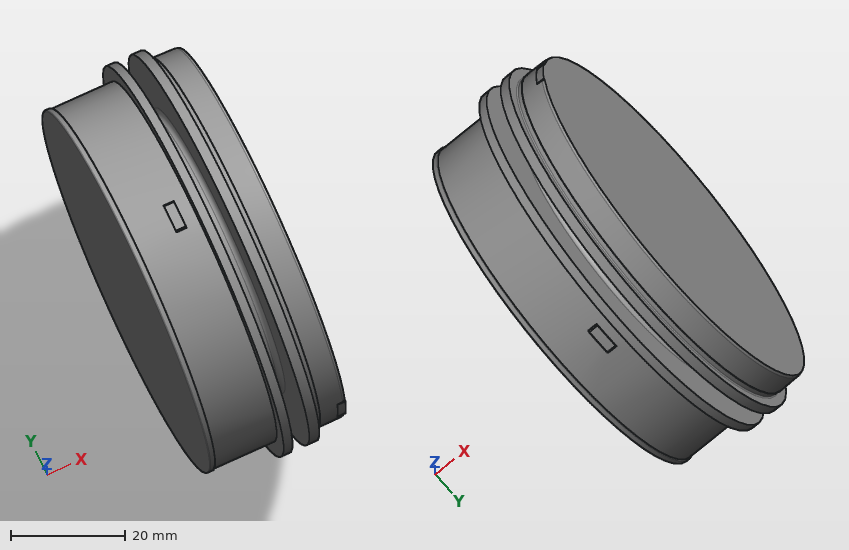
import cadquery as cq
import math

length = 26.0
lip_end = 1.1
flange_1_start = 13.05
groove_start = 14.8
groove_end = 18.0
flange_2_end = 19.95
neck_end = 21.1

lip_dia = 69.6
body_dia = 69.2
flange_dia = 75.0
groove_dia = 52.65
neck_dia = 70.7
cap_dia = 71.0
cap_rim_dia = 70.8

groove_fillet = 1.05
lip_fillet = 0.15
neck_fillet = 0.2
cap_bevel_length = 0.5
cap_bevel_depth = 0.15

pad_end_run = 0.3
pad_end_drop = 0.3
body_pad_start = 8.55
body_pad_length = 1.95
body_pad_width = 5.5
body_pad_dia = 69.75
rim_pad_length = 1.6
rim_pad_width = 8.4
rim_pad_dia = 70.95


def disc(start, end, diameter):
    """Solid disc about the X axis between two axial positions."""
    return cq.Workplane("YZ", origin=(start, 0, 0)).circle(diameter / 2).extrude(end - start)


def make_groove_core():
    """Groove floor blended into both flange walls by concave fillets."""
    floor = groove_dia / 2
    shoulder = floor + groove_fillet
    return (
        cq.Workplane("XY")
        .moveTo(groove_start, 0)
        .lineTo(groove_start, shoulder)
        .radiusArc((groove_start + groove_fillet, floor), -groove_fillet)
        .lineTo(groove_end - groove_fillet, floor)
        .radiusArc((groove_end, shoulder), -groove_fillet)
        .lineTo(groove_end, 0)
        .close()
        .revolve(360, (0, 0, 0), (1, 0, 0))
    )


def make_neck():
    """Neck behind the second flange, with a small fillet at its root."""
    radius = neck_dia / 2
    return (
        cq.Workplane("XY")
        .moveTo(flange_2_end, 0)
        .lineTo(flange_2_end, radius + neck_fillet)
        .radiusArc((flange_2_end + neck_fillet, radius), -neck_fillet)
        .lineTo(neck_end, radius)
        .lineTo(neck_end, 0)
        .close()
        .revolve(360, (0, 0, 0), (1, 0, 0))
    )


def make_cap():
    """Slightly tapered cap with a shallow bevel on its outer rim."""
    rim_radius = cap_rim_dia / 2
    return (
        cq.Workplane("XY")
        .moveTo(neck_end, 0)
        .lineTo(neck_end, cap_dia / 2)
        .lineTo(length - cap_bevel_length, rim_radius)
        .lineTo(length, rim_radius - cap_bevel_depth)
        .lineTo(length, 0)
        .close()
        .revolve(360, (0, 0, 0), (1, 0, 0))
    )


def make_pad(start, pad_length, base_width, outer_dia, angle):
    """Arc-topped pad with sloping ends, turned about X from the +Z direction."""
    half_base = base_width / 2
    half_top = half_base - pad_end_run
    top = math.sqrt((outer_dia / 2) ** 2 - half_top**2)
    base = math.sqrt((outer_dia / 2 - pad_end_drop) ** 2 - half_base**2)
    pad = (
        cq.Workplane("YZ", origin=(start, 0, 0))
        .moveTo(-half_base, 0)
        .lineTo(-half_base, base)
        .lineTo(-half_top, top)
        .threePointArc((0, outer_dia / 2), (half_top, top))
        .lineTo(half_base, base)
        .lineTo(half_base, 0)
        .close()
        .extrude(pad_length)
    )
    return pad.rotate((0, 0, 0), (1, 0, 0), angle)


lip = disc(0, lip_end, lip_dia).edges().fillet(lip_fillet)
result = (
    lip.union(disc(lip_end, flange_1_start, body_dia))
    .union(disc(flange_1_start, groove_start, flange_dia))
    .union(make_groove_core())
    .union(disc(groove_end, flange_2_end, flange_dia))
    .union(make_neck())
    .union(make_cap())
)

for side_angle in (0, 180):
    result = result.union(
        make_pad(body_pad_start, body_pad_length, body_pad_width, body_pad_dia, side_angle)
    )

result = result.union(
    make_pad(length - rim_pad_length, rim_pad_length, rim_pad_width, rim_pad_dia, 90)
)